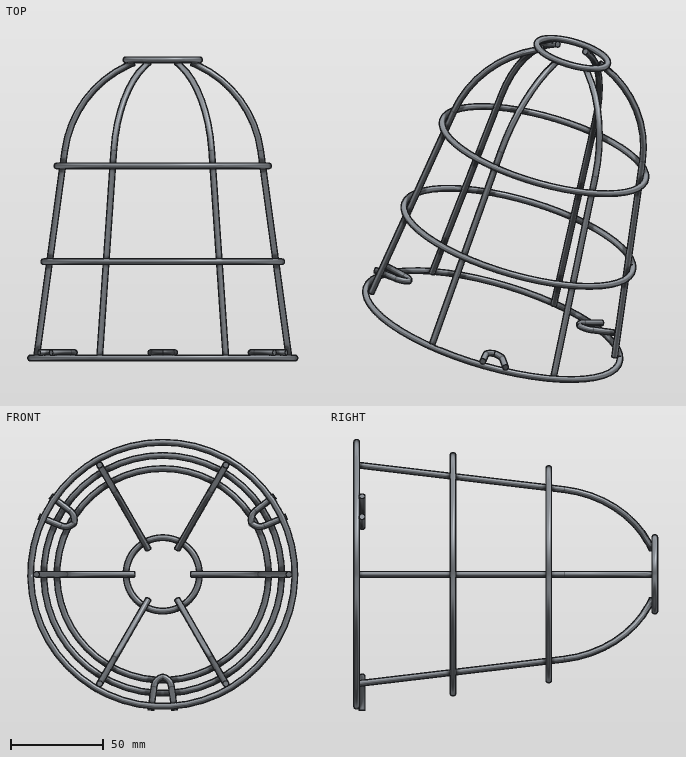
import cadquery as cq
import math


wire_diameter = 3.2
wire_radius = wire_diameter / 2
weld_depth = 0.1
overall_length = 164.15

rib_count = 6
rib_foot_radius = 68.2
rib_tilt_deg = 7.8
rib_bend_y = 112.0
rib_arc_radius = 59.6
rib_tip_radius = 15.5

lower_hoop_y = 52.0
upper_hoop_y = 103.7

hook_count = 3
hook_foot_x = 6.4
hook_foot_z = -73.33
hook_bend_x = 4.7
hook_bend_z = -60.6
hook_arc_radius = 6.2
hook_seat_depth = 0.25

weld_spacing = wire_diameter - weld_depth
rib_tilt = math.radians(rib_tilt_deg)
rib_bend_radius = rib_foot_radius - rib_bend_y * math.tan(rib_tilt)
rib_arc_x = rib_bend_radius - rib_arc_radius * math.cos(rib_tilt)
rib_arc_y = rib_bend_y - rib_arc_radius * math.sin(rib_tilt)

mouth_radius = rib_foot_radius + weld_spacing
crown_y = overall_length - wire_diameter
crown_reach = math.sqrt((rib_arc_radius + weld_spacing) ** 2 - (crown_y - rib_arc_y) ** 2)
crown_radius = rib_arc_x + crown_reach

hook_y = wire_diameter - hook_seat_depth

origin = (0, 0, 0)
y_axis = (0, 1, 0)


def hoop_radius(y):
    """Centre-line radius of a hoop welded to the outside of the rib legs at height y."""
    leg_radius = rib_foot_radius - y * math.tan(rib_tilt)
    return leg_radius + weld_spacing / math.cos(rib_tilt)


def ring(radius, y):
    """Round wire ring about the Y axis."""
    return cq.Workplane(cq.Solid.makeTorus(radius, wire_radius, cq.Vector(0, y, 0), cq.Vector(y_axis)))


def leg_and_arc(frame, leg_length, arc_radius, arc_deg):
    """Wire that runs leg_length along the frame normal, ending at the frame origin,
    then bends by arc_deg towards the frame's -x direction."""
    leg = cq.Workplane(frame).circle(wire_radius).extrude(-leg_length)
    arc = cq.Workplane(frame).circle(wire_radius).revolve(
        arc_deg, (-arc_radius, 0, 0), (-arc_radius, -1, 0)
    )
    return leg.union(arc)


def rib():
    """One rib in the XY plane on the +X side."""
    frame = cq.Plane(
        origin=(rib_bend_radius, rib_bend_y, 0),
        xDir=(math.cos(rib_tilt), math.sin(rib_tilt), 0),
        normal=(-math.sin(rib_tilt), math.cos(rib_tilt), 0),
    )
    tip_angle = math.acos((rib_tip_radius - rib_arc_x) / rib_arc_radius)
    arc_deg = math.degrees(tip_angle) - rib_tilt_deg
    return leg_and_arc(frame, rib_bend_y / math.cos(rib_tilt), rib_arc_radius, arc_deg)


def build_cage():
    """Four rings and six ribs welded into one solid."""
    cage = ring(mouth_radius, 0)
    for i in range(rib_count):
        cage = cage.union(rib().rotate(origin, y_axis, i * 360 / rib_count))
    cage = cage.union(ring(hoop_radius(lower_hoop_y), lower_hoop_y))
    cage = cage.union(ring(hoop_radius(upper_hoop_y), upper_hoop_y))
    return cage.union(ring(crown_radius, crown_y))


def build_hook():
    """Hook at the bottom of the mouth ring, lying flat, its legs notched to fit the ring."""
    splay = hook_foot_x - hook_bend_x
    rise = hook_bend_z - hook_foot_z
    leg_length = math.hypot(splay, rise)
    frame = cq.Plane(
        origin=(hook_bend_x, hook_y, hook_bend_z),
        xDir=(rise, 0, splay),
        normal=(-splay, 0, rise),
    )
    untrimmed_arc_deg = 90
    half = leg_and_arc(frame, leg_length, hook_arc_radius, untrimmed_arc_deg)
    trim_size = 4 * leg_length
    beyond_middle = cq.Workplane("XY").box(
        trim_size, trim_size, trim_size, centered=(False, True, True)
    ).translate((-trim_size, 0, hook_bend_z))
    half = half.cut(beyond_middle)
    full_hook = half.union(half.mirror("YZ"))
    return full_hook.cut(ring(mouth_radius, 0))


cage = build_cage()
hooks = [build_hook().rotate(origin, y_axis, i * 360 / hook_count) for i in range(hook_count)]

result = cq.Compound.makeCompound([cage.val(), *[hook.val() for hook in hooks]])